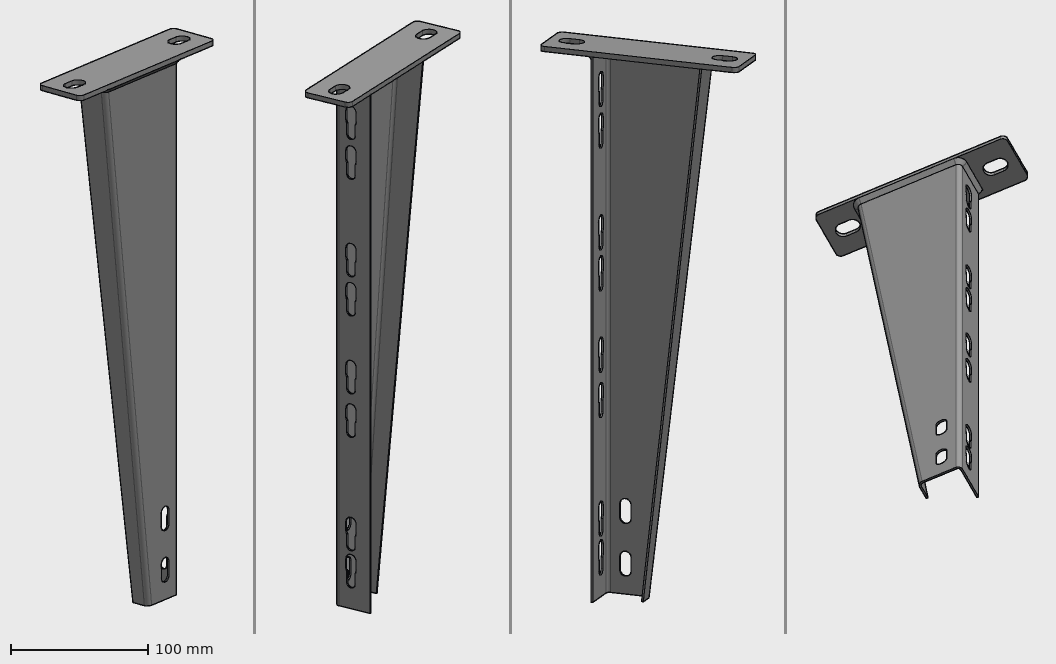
import cadquery as cq
import math

overall_height = 420.3

plate_width = 40.0
plate_length = 155.0
plate_thickness = 4.0
plate_corner_radius = 4.0
plate_slot_width = 11.5
plate_slot_length = 19.0
plate_slot_spacing = 119.8

sheet_thickness = 1.45
inner_bend_radius = 2.3
outer_bend_radius = inner_bend_radius + sheet_thickness
arm_width = 30.3
web_margin = 3.5
arm_right = plate_width / 2 - web_margin
arm_left = arm_right - arm_width
arm_back = 39.5
top_depth = 85.0
bottom_depth = 35.0
front_setback_top = 6.0
front_setback_bottom = 15.5

nominal_height = overall_height - plate_thickness
slope_angle = math.atan((top_depth - bottom_depth) / nominal_height)
tip_drop = sheet_thickness * math.sin(slope_angle)
arm_height = nominal_height - tip_drop
arm_bottom = -arm_height
front_slope = math.tan(slope_angle)
front_run = sheet_thickness / math.cos(slope_angle)

web_slot_width = 9.0
web_slot_length = 19.0
web_slot_inset = 15.5
web_slot_heights = [23.0, 63.0]

keyhole_narrow_width = 7.0
keyhole_narrow_length = 26.5
keyhole_wide_width = 9.0
keyhole_wide_length = 16.0
keyhole_inset = 16.5
keyhole_heights = [30.0, 59.3, 149.0, 183.5, 245.5, 276.5, 354.0, 385.5]
keyhole_wide_rise = (keyhole_narrow_length - keyhole_wide_length) / 2

weld_width = 3.5
weld_height = 3.8
weld_flare = math.degrees(math.atan(weld_width / weld_height))


def front_face(z):
    """Y of the sloping outer face of the front flange at height z."""
    return arm_back - top_depth - front_slope * z


def make_plate():
    plate = (
        cq.Workplane("XY")
        .rect(plate_width, plate_length)
        .extrude(plate_thickness)
        .edges("|Z")
        .fillet(plate_corner_radius)
    )
    slots = (
        cq.Workplane("XY")
        .rarray(4, plate_slot_spacing, 1, 2)
        .slot2D(plate_slot_length, plate_slot_width, 90)
        .extrude(plate_thickness)
    )
    return plate.cut(slots)


def make_wedge(outline, width, bend_radius):
    """Extrude a side outline from the arm's open side and round its two long +X edges."""
    wedge = cq.Workplane("YZ", origin=(arm_left, 0, 0)).polyline(outline).close().extrude(width)
    return wedge.faces(">X").edges(">Y or <Y").fillet(bend_radius)


def make_channel():
    """Plain channel: a filled wedge with its inside taken out, leaving the -X side open."""
    tip_z = arm_bottom - tip_drop
    inner_front_y = front_face(arm_bottom) + front_run
    outer_outline = [
        (arm_back, 0),
        (arm_back, arm_bottom),
        (inner_front_y, arm_bottom),
        (front_face(tip_z), tip_z),
        (front_face(0), 0),
    ]
    inner_outline = [
        (arm_back - sheet_thickness, 0),
        (arm_back - sheet_thickness, arm_bottom),
        (inner_front_y, arm_bottom),
        (front_face(0) + front_run, 0),
    ]
    outside = make_wedge(outer_outline, arm_width, outer_bend_radius)
    inside = make_wedge(inner_outline, arm_width - sheet_thickness, inner_bend_radius)
    return outside.cut(inside)


def make_weld():
    """Sloping bead along the outside of the back flange, the web and the front flange."""
    foot_front = front_face(-weld_height)
    foot_outline = (
        cq.Sketch()
        .rect(arm_width, arm_back - foot_front)
        .vertices(">X")
        .fillet(outer_bend_radius)
    )
    hollow_back = arm_back - sheet_thickness
    hollow_front = front_face(0) + front_run
    foot_center = ((arm_left + arm_right) / 2, (arm_back + foot_front) / 2, -weld_height)
    bead = (
        cq.Workplane("XY", origin=foot_center)
        .placeSketch(foot_outline)
        .extrude(weld_height, taper=-weld_flare)
    )
    inside = (
        cq.Workplane("XY", origin=(arm_left, hollow_front, 0))
        .rect(arm_width - sheet_thickness, hollow_back - hollow_front, centered=False)
        .extrude(-weld_height)
    )
    open_side = (
        cq.Workplane("YZ", origin=(arm_left, 0, 0))
        .rect(plate_length, 2 * weld_height)
        .extrude(-2 * weld_width)
    )
    return bead.cut(inside).cut(open_side)


def make_slots(plane, origin, heights, length, width):
    """Upright slots through the sheet, one at each height above the arm's lower end."""
    centers = [(0, height) for height in heights]
    return (
        cq.Workplane(plane, origin=origin)
        .pushPoints(centers)
        .slot2D(length, width, 90)
        .extrude(sheet_thickness)
    )


def make_web_slots():
    origin = (arm_right - sheet_thickness, arm_back - web_slot_inset, arm_bottom)
    return make_slots("YZ", origin, web_slot_heights, web_slot_length, web_slot_width)


def make_keyholes():
    origin = (arm_left + keyhole_inset, arm_back, arm_bottom)
    wide_heights = [height + keyhole_wide_rise for height in keyhole_heights]
    narrow = make_slots("XZ", origin, keyhole_heights, keyhole_narrow_length, keyhole_narrow_width)
    wide = make_slots("XZ", origin, wide_heights, keyhole_wide_length, keyhole_wide_width)
    return narrow.union(wide)


def make_front_trim():
    """Wedge that narrows the front flange towards its lower end."""
    trim_bottom = arm_bottom - tip_drop
    outline = [
        (arm_left, 0),
        (arm_left + front_setback_top, 0),
        (arm_left + front_setback_bottom, trim_bottom),
        (arm_left, trim_bottom),
    ]
    return (
        cq.Workplane("XZ", origin=(0, arm_back - sheet_thickness, 0))
        .polyline(outline)
        .close()
        .extrude(plate_length)
    )


def make_arm():
    arm = make_channel().union(make_weld())
    return arm.cut(make_front_trim()).cut(make_web_slots()).cut(make_keyholes())


plate = make_plate()
arm = make_arm()
result = cq.Compound.makeCompound([plate.solids().val(), arm.solids().val()])